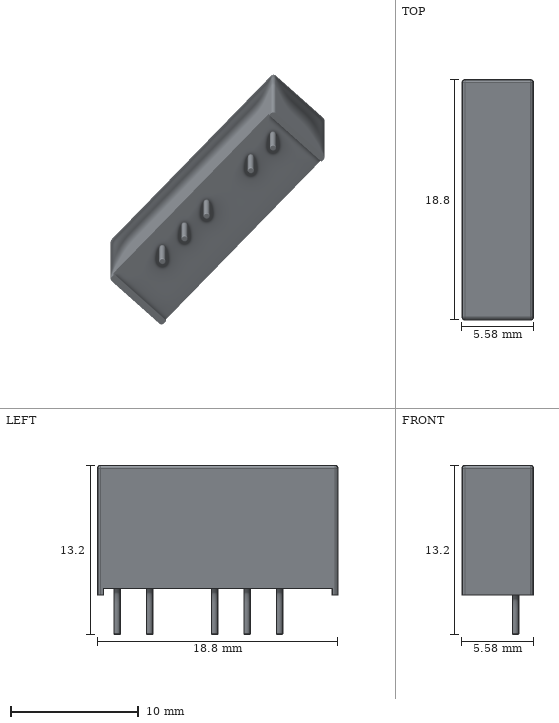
import cadquery as cq

case_width = 5.58
case_length = 18.8
case_height = 10.15
edge_radius = 0.25

foot_length = 0.47
foot_height = 0.5

pin_diameter = 0.5
pin_drop = 3.06
pin_tip_rounding = 0.08
pin_pitch = 2.54
pin_row_x = 1.4
first_pin_y = 7.85
pin_slots = (0, 1, 3, 4, 5)


def make_case():
    """Rounded box standing on z = 0, with a channel between its end feet."""
    case = (
        cq.Workplane("XY")
        .box(case_width, case_length, case_height, centered=(True, True, False))
        .edges("|Z or >Z")
        .fillet(edge_radius)
    )
    channel = cq.Workplane("XY").box(
        case_width, case_length - 2 * foot_length, foot_height, centered=(True, True, False)
    )
    return case.cut(channel)


def make_pin(y):
    """Round pin from the channel roof down, with a rounded tip."""
    return (
        cq.Workplane("XY", origin=(pin_row_x, y, -pin_drop))
        .circle(pin_diameter / 2)
        .extrude(pin_drop + foot_height)
        .faces("<Z")
        .edges()
        .fillet(pin_tip_rounding)
    )


result = make_case()
for slot in pin_slots:
    result = result.union(make_pin(first_pin_y - slot * pin_pitch))